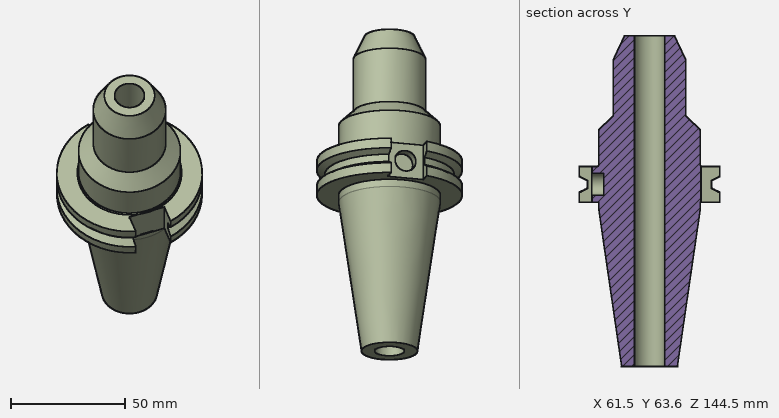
import cadquery as cq

taper_length = 68.5
flange_bottom = 71.6
flange_thickness = 15.7
flange_top = flange_bottom + flange_thickness
flange_middle = flange_bottom + flange_thickness / 2
body_top = 103.4
nose_bottom = 109.5
nose_top = 134.0
total_length = 144.5

body_radius = 22.2
taper_ratio = 7 / 24
taper_end_radius = body_radius - taper_length * taper_ratio / 2
nose_radius = 15.9
tip_radius = 11.0
bore_radius = 6.5
flange_radius = 31.8

root_chamfer = 0.6

groove_floor_radius = 28.3
groove_floor_width = 3.3
groove_mouth_width = 7.0

slot_width = 16.2
deep_slot_floor = 22.5
shallow_slot_floor = 25.1

pin_hole_diameter = 9.4
pin_hole_depth = 5.0


def make_holder():
    """Revolve the half profile of the taper, flange, body and nose."""
    profile = [
        (0, 0),
        (taper_end_radius, 0),
        (body_radius, taper_length),
        (body_radius, flange_bottom),
        (flange_radius, flange_bottom),
        (flange_radius, flange_middle - groove_mouth_width / 2),
        (groove_floor_radius, flange_middle - groove_floor_width / 2),
        (groove_floor_radius, flange_middle + groove_floor_width / 2),
        (flange_radius, flange_middle + groove_mouth_width / 2),
        (flange_radius, flange_top),
        (body_radius + root_chamfer, flange_top),
        (body_radius, flange_top + root_chamfer),
        (body_radius, body_top),
        (nose_radius, nose_bottom),
        (nose_radius, nose_top),
        (tip_radius, total_length),
        (0, total_length),
    ]
    return cq.Workplane("XZ").polyline(profile).close().revolve(360, (0, 0), (0, 1))


def make_bore():
    """Through bore along the axis."""
    return cq.Workplane("XY").circle(bore_radius).extrude(total_length)


def make_slot(side, floor_distance):
    """Drive slot over the flange height; side is +1 for +X and -1 for -X."""
    depth = flange_radius - floor_distance
    middle = side * (floor_distance + depth / 2)
    return (
        cq.Workplane("XY")
        .box(depth, slot_width, flange_thickness)
        .translate((middle, 0, flange_middle))
    )


def make_pin_hole():
    """Blind radial hole running inward from the shallow slot floor."""
    return (
        cq.Workplane("YZ", origin=(-shallow_slot_floor, 0, flange_middle))
        .circle(pin_hole_diameter / 2)
        .extrude(pin_hole_depth)
    )


result = (
    make_holder()
    .cut(make_bore())
    .cut(make_slot(1, deep_slot_floor))
    .cut(make_slot(-1, shallow_slot_floor))
    .cut(make_pin_hole())
)